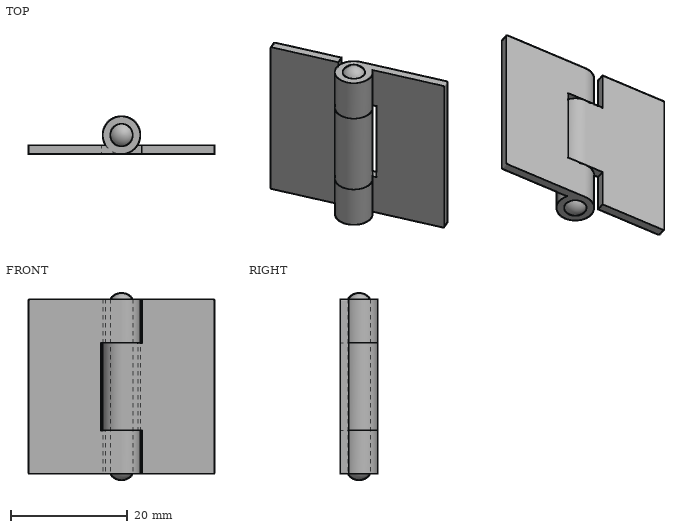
import cadquery as cq

total_width = 32.0
total_height = 32.2
leaf_height = 30.0
leaf_thickness = 1.5
corner_radius = 0.3

barrel_diameter = 6.5
pin_diameter = 3.85
knuckle_clearance = 0.25

barrel_radius = barrel_diameter / 2
pin_radius = pin_diameter / 2
leaf_length = total_width / 2
middle_height = leaf_height / 2
end_height = (leaf_height - middle_height) / 2
notch_reach = barrel_radius + knuckle_clearance
dome_height = (total_height - leaf_height) / 2


def centred_box(x_start, x_end, y_start, y_end, height, z_centre):
    """Box between two X and two Y limits, centred in height on z_centre."""
    return (
        cq.Workplane("XY")
        .box(x_end - x_start, y_end - y_start, height)
        .translate(((x_start + x_end) / 2, (y_start + y_end) / 2, z_centre))
    )


def make_leaf(side, knuckles, notches):
    """Leaf reaching to side (-1 left, +1 right), given (height, z_centre) of knuckles and notches."""
    plate = centred_box(0, leaf_length, -barrel_radius, leaf_thickness - barrel_radius, leaf_height, 0)
    leaf = plate.faces(">X").edges("|Y").fillet(corner_radius)
    if side < 0:
        leaf = leaf.mirror("YZ")

    for height, z_centre in notches:
        notch = centred_box(-notch_reach, notch_reach, -barrel_diameter, barrel_diameter, height, z_centre)
        leaf = leaf.cut(notch)

    for height, z_centre in knuckles:
        knuckle = cq.Workplane("XY").circle(barrel_radius).extrude(height / 2, both=True)
        leaf = leaf.union(knuckle.translate((0, 0, z_centre)))

    pin_hole = cq.Workplane("XY").circle(pin_radius).extrude(leaf_height, both=True)
    return leaf.cut(pin_hole)


def make_pin():
    """Pin with a shallow spherical dome standing out at each end."""
    dome_radius = (pin_radius**2 + dome_height**2) / (2 * dome_height)
    dome_centre = total_height / 2 - dome_radius
    pin = cq.Workplane("XY").circle(pin_radius).extrude(leaf_height / 2, both=True)
    for end in (-1, 1):
        cap = centred_box(
            -barrel_radius, barrel_radius, -barrel_radius, barrel_radius,
            dome_height, end * (leaf_height + dome_height) / 2,
        )
        sphere = cq.Workplane("XY").sphere(dome_radius).translate((0, 0, end * dome_centre))
        pin = pin.union(sphere.intersect(cap))
    return pin


end_centre = (leaf_height - end_height) / 2
end_bands = [(end_height, -end_centre), (end_height, end_centre)]
middle_band = [(middle_height, 0)]

left_leaf = make_leaf(-1, knuckles=end_bands, notches=middle_band)
right_leaf = make_leaf(1, knuckles=middle_band, notches=end_bands)
pin = make_pin()

result = cq.Compound.makeCompound([left_leaf.val(), right_leaf.val(), pin.val()])